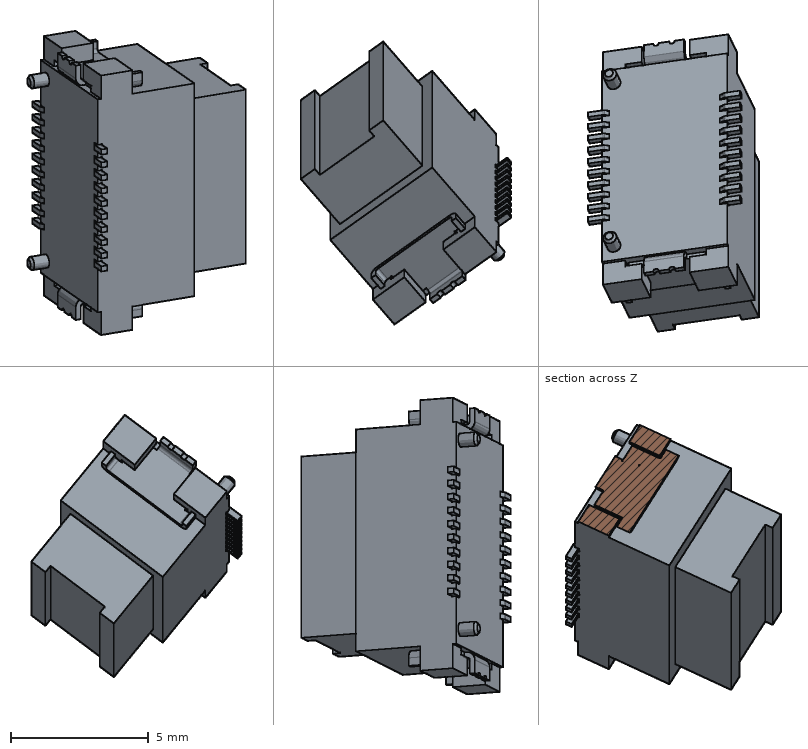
import cadquery as cq
import math


BODY_WIDTH = 4.7
BODY_LENGTH = 8.2
BODY_BOTTOM = 0.1
BODY_TOP = 4.0
SHROUD_WIDTH = 3.8
SHROUD_LENGTH = 6.7
SHROUD_TOP = 6.3
NOTCH_WIDTH = 2.5
NOTCH_DEPTH = 0.3

TOTAL_LENGTH = 10.0
EAR_GAP = 1.8
EAR_BOTTOM = 0.23
EAR_TOP = 1.5

SHEET = 0.2
OUTER_BEND_RADIUS = 0.3
INNER_BEND_RADIUS = 0.13
CLEARANCE = 0.04
PLATE_WIDTH = 2.88
PLATE_BOTTOM = 0.4
TAB_SPAN = 3.9
TAB_BOTTOM = 1.55
TAB_TOP = 2.1
TAB_HEIGHT = 0.6
POCKET_WIDTH = 3.04
FINGER_WIDTH = 1.5
FINGER_HEIGHT = 0.8
FINGER_NOTCH_RADIUS = 0.1
FINGER_NOTCH_SPACING = 0.6

TERMINALS_PER_SIDE = 10
PITCH = 0.5
TERMINAL_WIDTH = 0.2
TERMINAL_THICKNESS = 0.24
TERMINAL_SPAN = 5.7
TERMINAL_BEND_X = 2.26
TERMINAL_INNER_X = 2.07
TERMINAL_BEND_RADIUS = 0.1

PEG_X = -1.9
PEG_Z = 3.5
PEG_RADIUS = 0.25
PEG_LENGTH_BELOW_BOARD = 0.6
PEG_CHAMFER = 0.1

BODY_END = BODY_LENGTH / 2
TERMINAL_ZS = [(i - (TERMINALS_PER_SIDE - 1) / 2) * PITCH for i in range(TERMINALS_PER_SIDE)]


def block(x_range, y_range, z_range):
    """Box between the given limits along each axis."""
    size = [high - low for low, high in (x_range, y_range, z_range)]
    corner = (x_range[0], y_range[0], z_range[0])
    return cq.Workplane("XY").box(*size, centered=False).translate(corner)


def centered_block(width, y_range, length):
    """Box centered on x = 0 and z = 0."""
    return block((-width / 2, width / 2), y_range, (-length / 2, length / 2))


def both_sides(shape, plane):
    """The shape together with its mirror image."""
    return shape.union(shape.mirror(plane))


def make_housing():
    body = centered_block(BODY_WIDTH, (BODY_BOTTOM, BODY_TOP), BODY_LENGTH)
    shroud = centered_block(SHROUD_WIDTH, (BODY_TOP, SHROUD_TOP), SHROUD_LENGTH)
    notch = centered_block(NOTCH_WIDTH, (SHROUD_TOP - NOTCH_DEPTH, SHROUD_TOP), SHROUD_LENGTH)
    return body.union(shroud).cut(notch)


def make_ears():
    """Pair of ears at the +Z end, relieved where the hold-down plate passes."""
    ear_height = (EAR_BOTTOM, EAR_TOP)
    ear = block((EAR_GAP / 2, BODY_WIDTH / 2), ear_height, (BODY_END, TOTAL_LENGTH / 2))
    pocket_top = BODY_END + SHEET + CLEARANCE
    pocket = block((0, POCKET_WIDTH / 2), ear_height, (BODY_END, pocket_top))
    return both_sides(ear.cut(pocket), "YZ")


def bent_sheet(plane, heel, root, height):
    """Closed L section on the end of the housing, its second axis along Z.

    The standing leg rises at heel, the flat leg runs from there to root."""
    inward = 1 if root > heel else -1
    tip = BODY_END + height
    inner_face = heel + inward * SHEET
    flat_top = BODY_END + SHEET

    def bend_points(corner_x, corner_z, radius):
        """End on the flat leg, middle, and end on the standing leg of a rounded corner."""
        middle_offset = radius * (1 - math.sqrt(0.5))
        on_flat = (corner_x + inward * radius, corner_z)
        middle = (corner_x + inward * middle_offset, corner_z + middle_offset)
        on_leg = (corner_x, corner_z + radius)
        return on_flat, middle, on_leg

    outer_flat, outer_middle, outer_leg = bend_points(heel, BODY_END, OUTER_BEND_RADIUS)
    inner_flat, inner_middle, inner_leg = bend_points(inner_face, flat_top, INNER_BEND_RADIUS)
    return (
        cq.Workplane(plane)
        .moveTo(root, BODY_END)
        .lineTo(*outer_flat)
        .threePointArc(outer_middle, outer_leg)
        .lineTo(heel, tip)
        .lineTo(inner_face, tip)
        .lineTo(*inner_leg)
        .threePointArc(inner_middle, inner_flat)
        .lineTo(root, flat_top)
        .close()
    )


def make_hold_down():
    """Metal plate on the +Z end with two side tabs and a notched solder finger."""
    plate = block(
        (-PLATE_WIDTH / 2, PLATE_WIDTH / 2), (PLATE_BOTTOM, TAB_TOP), (BODY_END, BODY_END + SHEET)
    )
    tab = (
        bent_sheet("XZ", TAB_SPAN / 2, 0, TAB_HEIGHT)
        .extrude(TAB_TOP - TAB_BOTTOM)
        .translate((0, TAB_TOP, 0))
    )
    finger = bent_sheet("YZ", 0, TAB_BOTTOM, FINGER_HEIGHT).extrude(FINGER_WIDTH / 2, both=True)
    for side in (-1, 1):
        notch = (
            cq.Workplane("XZ")
            .center(side * FINGER_NOTCH_SPACING / 2, BODY_END + FINGER_HEIGHT)
            .circle(FINGER_NOTCH_RADIUS)
            .extrude(-SHEET)
        )
        finger = finger.cut(notch)
    return plate.union(both_sides(tab, "YZ")).union(finger)


def make_terminal_slot(z):
    """Opening in the lower +X edge of the housing, slightly taller than the terminal."""
    return block(
        (TERMINAL_INNER_X, BODY_WIDTH / 2),
        (BODY_BOTTOM, TERMINAL_THICKNESS + CLEARANCE),
        (z - TERMINAL_WIDTH / 2, z + TERMINAL_WIDTH / 2),
    )


def make_terminal(z):
    """Flat foot on the +X side whose underside slopes up into the housing."""
    return (
        cq.Workplane("XY", origin=(0, 0, z - TERMINAL_WIDTH / 2))
        .moveTo(TERMINAL_SPAN / 2, 0)
        .lineTo(TERMINAL_BEND_X, 0)
        .lineTo(TERMINAL_INNER_X, BODY_BOTTOM)
        .lineTo(TERMINAL_INNER_X, TERMINAL_THICKNESS)
        .lineTo(TERMINAL_SPAN / 2, TERMINAL_THICKNESS)
        .close()
        .extrude(TERMINAL_WIDTH)
        .edges(cq.selectors.NearestToPointSelector((TERMINAL_BEND_X, 0, z)))
        .fillet(TERMINAL_BEND_RADIUS)
    )


def make_peg():
    """Chamfered locating peg near the +Z end."""
    return (
        cq.Workplane("XZ", origin=(PEG_X, BODY_BOTTOM, PEG_Z))
        .circle(PEG_RADIUS)
        .extrude(BODY_BOTTOM + PEG_LENGTH_BELOW_BOARD)
        .faces("<Y")
        .chamfer(PEG_CHAMFER)
    )


result = make_housing()
for terminal_z in TERMINAL_ZS:
    result = result.cut(both_sides(make_terminal_slot(terminal_z), "YZ"))
for terminal_z in TERMINAL_ZS:
    result = result.union(both_sides(make_terminal(terminal_z), "YZ"))
for end_feature in (make_ears(), make_hold_down(), make_peg()):
    result = result.union(both_sides(end_feature, "XY"))